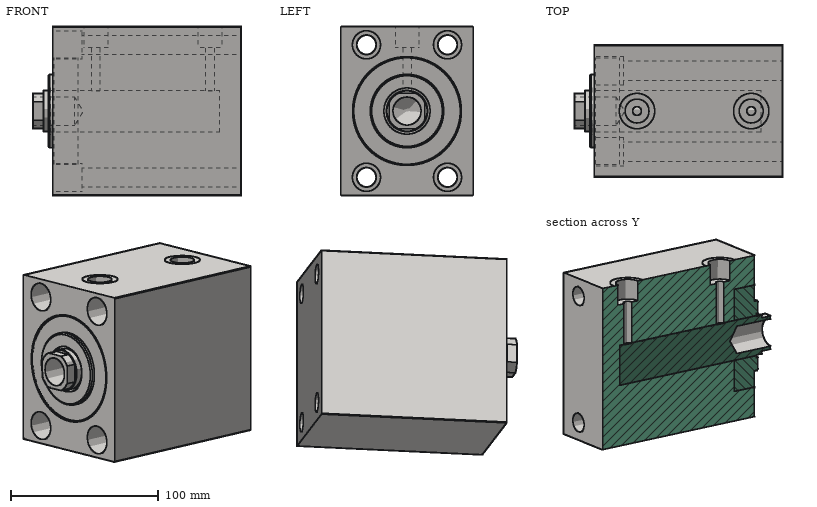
import cadquery as cq
import math


total_length = 141.5
width = 90.0
height = 115.0
edge_chamfer = 0.5

flange_length = 3.0
collar_length = 3.4
wrench_length = 7.1
protrusion = flange_length + collar_length + wrench_length
housing_length = total_length - protrusion

bolt_spacing_y = 55.0
bolt_spacing_z = 90.0
bolt_diameter = 13.0
counterbore_diameter = 19.1
counterbore_depth = 19.8

port_positions = (29.1, 106.7)
spotface_diameter = 24.0
spotface_depth = 0.1
port_diameter = 16.3
port_depth = 14.2
oilway_diameter = 6.0

gland_diameter = 72.3
gland_depth = 17.0
gland_seat_chamfer = 0.8
flange_diameter = 50.0
flange_chamfer = 1.0
wiper_diameter = 31.4
wiper_depth = 1.4

rod_diameter = 28.0
rod_end = 113.2
collar_chamfer = 0.3
wrench_diameter = 27.0
wrench_flats = 24.0
thread_diameter = 19.1
thread_depth = 28.3
drill_point_angle = 118.0


def x_cylinder(diameter, start, end):
    """Cylinder on the rod axis from X = start to X = end."""
    return cq.Workplane("YZ", origin=(start, 0, 0)).circle(diameter / 2).extrude(end - start)


def bolt_pattern(start):
    """Workplane at X = start with a point on each bolt axis."""
    return cq.Workplane("YZ", origin=(start, 0, 0)).rarray(bolt_spacing_y, bolt_spacing_z, 2, 2)


def port_cutter(x):
    """Stepped bore from the top face down to the rod axis: spotface, port, then oilway."""
    top = cq.Workplane("XY", origin=(x, 0, height / 2))
    spotface = top.circle(spotface_diameter / 2).extrude(-spotface_depth)
    port = top.circle(port_diameter / 2).extrude(-port_depth)
    oilway = top.circle(oilway_diameter / 2).extrude(-height / 2)
    return spotface.union(port).union(oilway)


def make_housing():
    block = cq.Workplane("XY").box(housing_length, width, height).translate((housing_length / 2, 0, 0))
    block = block.edges("|X").chamfer(edge_chamfer)

    block = block.cut(x_cylinder(gland_diameter, 0, gland_depth))
    block = block.cut(x_cylinder(rod_diameter, 0, rod_end))
    seat_mouth = cq.selectors.RadiusNthSelector(-1)
    block = block.faces("<X").edges("%CIRCLE").edges(seat_mouth).chamfer(gland_seat_chamfer)

    block = block.cut(bolt_pattern(0).circle(bolt_diameter / 2).extrude(housing_length))
    block = block.cut(bolt_pattern(0).circle(counterbore_diameter / 2).extrude(counterbore_depth))

    for x in port_positions:
        block = block.cut(port_cutter(x))
    return block


def make_gland():
    flange = x_cylinder(flange_diameter, -flange_length, 0).faces("<X").edges().chamfer(flange_chamfer)
    gland = x_cylinder(gland_diameter, 0, gland_depth).union(flange)

    gland = gland.cut(x_cylinder(rod_diameter, -flange_length, gland_depth))
    return gland.cut(x_cylinder(wiper_diameter, -flange_length, wiper_depth - flange_length))


def make_rod():
    rod = x_cylinder(rod_diameter, wrench_length - protrusion, rod_end)
    rod = rod.faces("<X").edges().chamfer(collar_chamfer)

    wrench_square = (
        cq.Workplane("YZ", origin=(-protrusion, 0, 0)).rect(wrench_flats, wrench_flats).extrude(wrench_length)
    )
    wrench_end = x_cylinder(wrench_diameter, -protrusion, wrench_length - protrusion).intersect(wrench_square)
    rod = rod.union(wrench_end)

    thread_radius = thread_diameter / 2
    point_length = thread_radius / math.tan(math.radians(drill_point_angle / 2))
    thread_bottom = thread_depth - protrusion
    drill = (
        cq.Workplane("XZ")
        .moveTo(-protrusion, 0)
        .lineTo(-protrusion, thread_radius)
        .lineTo(thread_bottom, thread_radius)
        .lineTo(thread_bottom + point_length, 0)
        .close()
        .revolve(360, (0, 0, 0), (1, 0, 0))
    )
    return rod.cut(drill)


housing = make_housing()
gland = make_gland()
rod = make_rod()

result = cq.Compound.makeCompound([housing.val(), gland.val(), rod.val()])